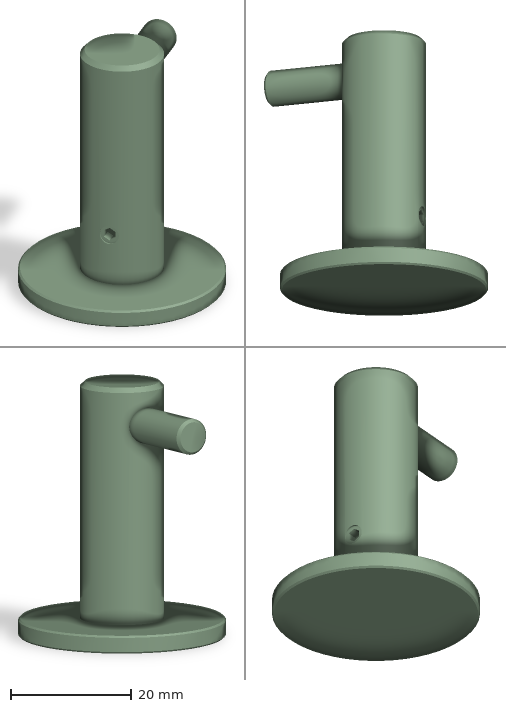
import cadquery as cq
import math

BASE_DIAMETER = 34.6
BASE_HEIGHT = 3.0
BASE_CHAMFER = 0.3

TOTAL_HEIGHT = 43.0
POST_DIAMETER = 14.0
POST_RADIUS = POST_DIAMETER / 2
POST_CHAMFER = 0.77

PEG_DIAMETER = 6.0
PEG_HEIGHT = 36.5
PEG_TIP_Y = 37.8 - BASE_DIAMETER / 2
PEG_CHAMFER = 0.47
SOCKET_DEPTH = 2.0
PEG_ROOT_Y = POST_RADIUS - SOCKET_DEPTH

SCREW_DIAMETER = 4.0
SCREW_HEIGHT = 12.0
SCREW_LENGTH = 4.0
SCREW_END_RECESS = 0.35
SCREW_END_Y = -POST_RADIUS + SCREW_END_RECESS
SCREW_MOUTH_DIAMETER = 3.3
HEX_ACROSS_FLATS = 2.0
HEX_ACROSS_CORNERS = HEX_ACROSS_FLATS / math.cos(math.pi / 6)
HEX_DEPTH = 1.98


def cylinder_along_y(diameter, start_y, end_y, height):
    """Solid cylinder parallel to Y, at X = 0 and the given height."""
    plane = cq.Plane(origin=(0, start_y, height), xDir=(1, 0, 0), normal=(0, 1, 0))
    return cq.Workplane(plane).circle(diameter / 2).extrude(end_y - start_y)


def make_base():
    disc = cq.Workplane("XY").circle(BASE_DIAMETER / 2).extrude(BASE_HEIGHT)
    return disc.edges().chamfer(BASE_CHAMFER)


def make_peg():
    peg = cylinder_along_y(PEG_DIAMETER, PEG_ROOT_Y, PEG_TIP_Y, PEG_HEIGHT)
    return peg.faces(">Y").edges().chamfer(PEG_CHAMFER)


def screw_envelope():
    """Space the set screw fills, before its drive socket is cut."""
    return cylinder_along_y(SCREW_DIAMETER, SCREW_END_Y, SCREW_END_Y + SCREW_LENGTH, SCREW_HEIGHT)


def make_screw():
    drive_plane = cq.Plane(origin=(0, SCREW_END_Y, SCREW_HEIGHT), xDir=(0, 0, 1), normal=(0, 1, 0))
    drive = (
        cq.Workplane(drive_plane)
        .polygon(6, HEX_ACROSS_CORNERS)
        .extrude(HEX_DEPTH)
    )
    return screw_envelope().cut(drive)


def make_post(peg):
    post = (
        cq.Workplane("XY", origin=(0, 0, BASE_HEIGHT))
        .circle(POST_RADIUS)
        .extrude(TOTAL_HEIGHT - BASE_HEIGHT)
        .faces(">Z").edges().chamfer(POST_CHAMFER)
    )
    mouth = cylinder_along_y(SCREW_MOUTH_DIAMETER, -POST_RADIUS, SCREW_END_Y, SCREW_HEIGHT)
    return post.cut(peg).cut(mouth).cut(screw_envelope())


base = make_base()
peg = make_peg()
screw = make_screw()
post = make_post(peg)

result = cq.Compound.makeCompound([base.val(), *post.vals(), peg.val(), screw.val()])